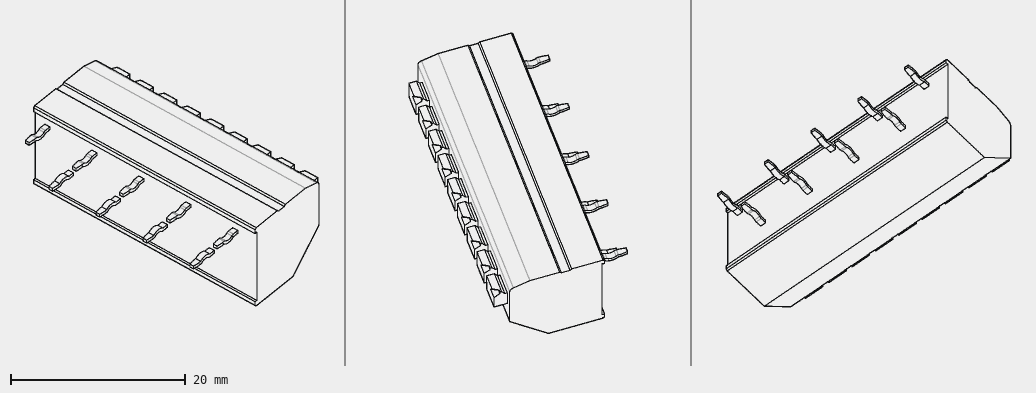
import cadquery as cq
import math


length = 33.0
height = 12.0
depth = 11.2
lip_reach = 0.3
lip_height = 0.8
lip_chamfer = 0.2
back_chamfer = 4.7
slope_run = 2.45
slope_drop = 0.65
slope_fillet = 0.6
groove_middle = 4.42
groove_width = 1.45
groove_floor_width = 1.05
groove_depth = 0.2

pole_count = 9
pitch = 3.5

first_tab_x = 2.18
tab_width = 2.6
tab_reach = 1.62
tab_bottom = 7.23
tab_top = 10.0
tab_step_drop = 0.6
tab_ledge_reach = 0.3
tab_ramp_reach = 0.7
corner_cut_depth = 0.73
corner_cut_outer_width = 0.73
corner_cut_outer_drop = 0.8
corner_cut_inner_width = 0.3
corner_cut_inner_drop = 0.33
corner_cut_lean = 0.6

first_pin_x = 1.8
pin_width = 0.75
pin_tip_width = 0.55
pin_thickness = 0.43
pin_length = 3.6
pin_taper_length = 0.82
upper_pin_z = 9.7
lower_pin_z = 4.65
bend_middle = 1.62
bend_half_width = 0.82
bend_height = 0.3


def make_housing():
    """Constant section along X: chamfered back, sloped top, grooved roof and two front lips."""
    groove_edge = groove_width / 2
    groove_floor_edge = groove_floor_width / 2
    outline = [
        (0, lip_height),
        (-lip_reach, lip_height),
        (-lip_reach, lip_chamfer),
        (-lip_reach + lip_chamfer, 0),
        (depth - back_chamfer, 0),
        (depth, back_chamfer),
        (depth, height - slope_drop),
        (depth - slope_run, height),
        (groove_middle + groove_edge, height),
        (groove_middle + groove_floor_edge, height - groove_depth),
        (groove_middle - groove_floor_edge, height - groove_depth),
        (groove_middle - groove_edge, height),
        (-lip_reach + lip_chamfer, height),
        (-lip_reach, height - lip_chamfer),
        (-lip_reach, height - lip_height),
        (0, height - lip_height),
    ]
    body = cq.Workplane("YZ").polyline(outline).close().extrude(length)
    slope_corner = cq.selectors.NearestToPointSelector((length / 2, depth, height - slope_drop))
    return body.edges(slope_corner).fillet(slope_fillet)


def make_tab(x_middle):
    """Tab with a ramp down to a ledge at the housing and a tapering cut in its outer left corner."""
    left = x_middle - tab_width / 2
    tab_end = depth + tab_reach
    outline = [
        (depth, tab_bottom),
        (tab_end, tab_bottom),
        (tab_end, tab_top),
        (depth + tab_ramp_reach, tab_top),
        (depth + tab_ledge_reach, tab_top - tab_step_drop),
        (depth, tab_top - tab_step_drop),
    ]
    tab = cq.Workplane("YZ", origin=(left, 0, 0)).polyline(outline).close().extrude(tab_width)

    def cut_section(width, drop):
        return [(0, 0), (width, 0), (width + corner_cut_lean * drop, -drop), (0, -drop)]

    corner_cut = (
        cq.Workplane("XZ", origin=(left, tab_end, tab_top))
        .polyline(cut_section(corner_cut_outer_width, corner_cut_outer_drop)).close()
        .workplane(offset=corner_cut_depth)
        .polyline(cut_section(corner_cut_inner_width, corner_cut_inner_drop)).close()
        .loft(ruled=True)
    )
    return tab.cut(corner_cut)


def make_pin(x_middle, z_middle, bend_direction):
    """Flat pin of even thickness, bowed up (+1) or down (-1), with a tapered tip."""
    bow_radius = (bend_half_width**2 + bend_height**2) / (2 * bend_height)
    bow_angle = math.asin(bend_half_width / bow_radius)
    inner_radius = bow_radius - pin_thickness
    outer = pin_thickness / 2
    bow_centre = outer + bend_height - bow_radius

    def at(along, across):
        return (-along, bend_direction * across)

    def on_inner_bow(angle):
        return at(bend_middle + inner_radius * math.sin(angle), bow_centre + inner_radius * math.cos(angle))

    def around_crease(side, angle):
        """Point one thickness away from the crease at either end of the bow."""
        along = bend_middle + side * (bend_half_width - pin_thickness * math.sin(angle))
        return at(along, outer - pin_thickness * math.cos(angle))

    bent_strip = (
        cq.Workplane("YZ", origin=(x_middle - pin_width / 2, 0, z_middle))
        .moveTo(*at(0, outer))
        .lineTo(*at(bend_middle - bend_half_width, outer))
        .threePointArc(at(bend_middle, outer + bend_height), at(bend_middle + bend_half_width, outer))
        .lineTo(*at(pin_length, outer))
        .lineTo(*at(pin_length, -outer))
        .lineTo(*around_crease(1, 0))
        .threePointArc(around_crease(1, bow_angle / 2), on_inner_bow(bow_angle))
        .threePointArc(on_inner_bow(0), on_inner_bow(-bow_angle))
        .threePointArc(around_crease(-1, bow_angle / 2), around_crease(-1, 0))
        .lineTo(*at(0, -outer))
        .close()
        .extrude(pin_width)
    )
    half_width = pin_width / 2
    half_tip = pin_tip_width / 2
    taper_start = pin_length - pin_taper_length
    plan = [
        (-half_width, 0),
        (half_width, 0),
        (half_width, -taper_start),
        (half_tip, -pin_length),
        (-half_tip, -pin_length),
        (-half_width, -taper_start),
    ]
    plan_block = cq.Workplane("XY", origin=(x_middle, 0, 0)).polyline(plan).close().extrude(height)
    return bent_strip.intersect(plan_block)


result = make_housing()
for pole in range(pole_count):
    offset = pole * pitch
    result = result.union(make_tab(first_tab_x + offset))
    if pole % 2 == 0:
        pin = make_pin(first_pin_x + offset, upper_pin_z, -1)
    else:
        pin = make_pin(first_pin_x + offset, lower_pin_z, 1)
    result = result.union(pin)